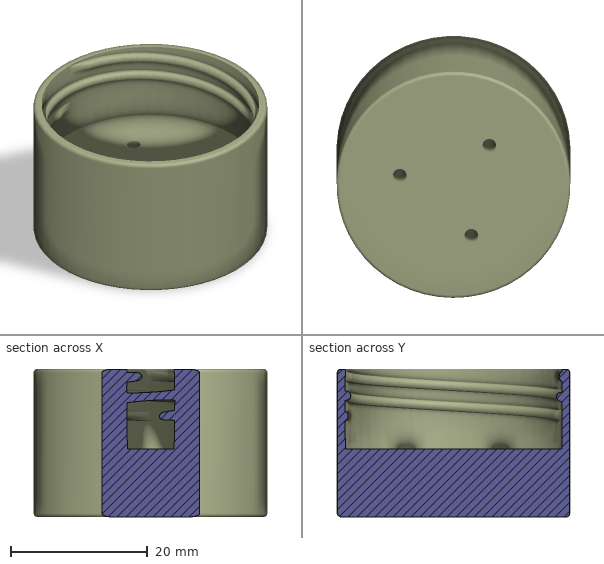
import cadquery as cq
import math

outer_radius = 17.1
height = 21.67
edge_fillet = 0.5
bore_radius = 15.935
floor_thickness = 10.0

hole_diameter = 2.0
hole_circle_radius = 8.0
hole_count = 3
first_hole_angle = -90.0

thread_starts = 2
thread_lead = 6.0
thread_turn = 360.0
thread_top_drop = 1.0
thread_depth = 0.82
base_half_width = 0.8
shoulder_depth = 0.45
shoulder_half_width = 0.6
wall_overlap = 0.1
runout_angle = 12.0
tip_fraction = 0.05
runout_steps = 4
turn_steps = 28


def make_body():
    """Solid round block with rounded rims, bored from the top."""
    block = cq.Workplane("XY").circle(outer_radius).extrude(height)
    block = block.faces("<Z or >Z").edges().fillet(edge_fillet)
    bore = (
        cq.Workplane("XY")
        .workplane(offset=floor_thickness)
        .circle(bore_radius)
        .extrude(height - floor_thickness)
    )
    return block.cut(bore)


def make_holes():
    return (
        cq.Workplane("XY")
        .polarArray(hole_circle_radius, first_hole_angle, 360, hole_count)
        .circle(hole_diameter / 2)
        .extrude(floor_thickness)
    )


def thread_section(travel, start_angle):
    """Thread profile after turning by travel degrees from the lower end."""
    angle = math.radians(start_angle + travel)
    centre_z = height - thread_top_drop - thread_lead * (thread_turn - travel) / 360
    end_distance = min(travel, thread_turn - travel)
    fade = min(1.0, end_distance / runout_angle)
    depth_share = tip_fraction + (1 - tip_fraction) * fade

    def point(depth, rise):
        radius = bore_radius - depth
        return cq.Vector(radius * math.cos(angle), radius * math.sin(angle), centre_z + rise)

    root_bottom = point(-wall_overlap, -base_half_width)
    shoulder_bottom = point(shoulder_depth * depth_share, -shoulder_half_width)
    crest = point(thread_depth * depth_share, 0)
    shoulder_top = point(shoulder_depth * depth_share, shoulder_half_width)
    root_top = point(-wall_overlap, base_half_width)
    return cq.Wire.assembleEdges([
        cq.Edge.makeLine(root_bottom, shoulder_bottom),
        cq.Edge.makeThreePointArc(shoulder_bottom, crest, shoulder_top),
        cq.Edge.makeLine(shoulder_top, root_top),
        cq.Edge.makeLine(root_top, root_bottom),
    ])


def thread_stretch(first, last, steps, start_angle):
    """Smooth loft of the profile between two travel angles."""
    travels = [first + (last - first) * i / steps for i in range(steps + 1)]
    return cq.Solid.makeLoft([thread_section(t, start_angle) for t in travels])


def make_thread(start_angle):
    """One thread start: lower run-out, full turn, upper run-out."""
    full_end = thread_turn - runout_angle
    lower = thread_stretch(0, runout_angle, runout_steps, start_angle)
    full = thread_stretch(runout_angle, full_end, turn_steps, start_angle)
    upper = thread_stretch(full_end, thread_turn, runout_steps, start_angle)
    return [lower, full, upper]


result = make_body().cut(make_holes())
for start in range(thread_starts):
    for stretch in make_thread(360 / thread_starts * start):
        result = result.union(cq.Workplane(stretch))